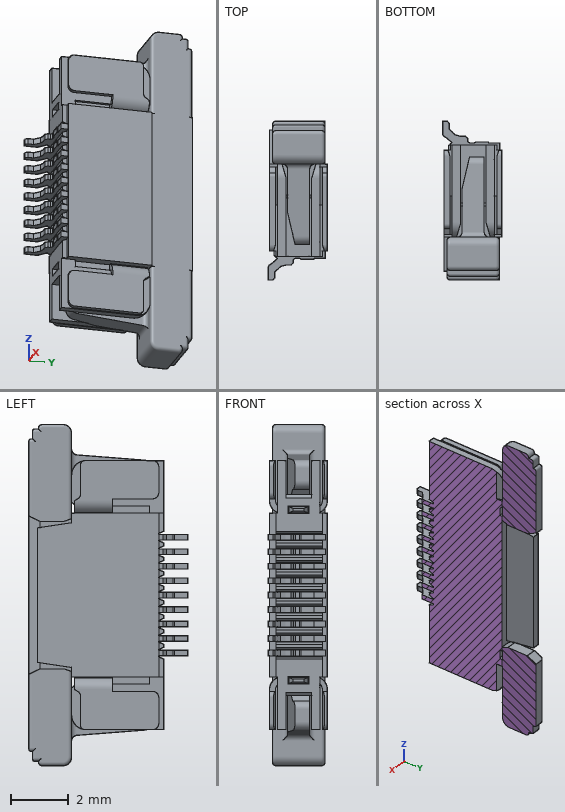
import cadquery as cq
import math


SHELL_X = 1.0
SHELL_Z = 2.83
SHELL_FRONT_Y = 0.18
SHELL_BACK_Y = 3.19
COVER_BACK_Y = 4.37
COVER_INNER_X = -0.73
COVER_BACK_Z = 2.32
COVER_FRONT_Z = 2.5
NOSE_X = (-0.78, 0.83)

ARM_TOP_Z = 4.65
ARM_OUTER_X = (-0.73, 0.74)
ARM_INNER_X = (-0.42, 0.46)
ARM_BACK_RADIUS = 0.5
ARM_LEAD_IN = (0.14, 0.48)
FLOOR_FRONT_Z = 3.36
FLOOR_BACK_Z = 3.47
FLOOR_RAMP_Y = 2.01
ROOT_BACK_Y = 3.09
ROOT_TOP_Z = (3.13, 3.2)
SLOT_SIZE = (0.73, 0.26)
SLOT_CENTRE_Z = 2.95
SLOT_DEPTH = 0.47
SLOT_PEG_ROOT = (0.66, 0.21)
SLOT_PEG_TIP = (0.38, 0.1)
SLOT_PEG_HEIGHT = 0.24
SIDE_RECESS_Y = (0.5, 1.77)
SIDE_RECESS_Z = 3.08
SIDE_RECESS_DEPTH = 0.12

EAR_INNER_X = (-0.79, 0.83)
EAR_FRONT_Y = SHELL_FRONT_Y
EAR_BACK_Y = 2.88
EAR_BOTTOM_Z = 3.33
EAR_CORNER_RADIUS = 0.21
EAR_BACK_RADIUS = 0.14
EAR_BLEND_RADIUS = 0.18
EAR_BLEND_TOP_Z = 3.49
EAR_BLEND_END = (2.99, 3.33)
EAR_BEVEL = (0.07, 0.22)
BEND_Y = (1.77, ROOT_BACK_Y)
BEND_Z = 3.26
BEND_RADIUS = 0.42

CONTACT_COUNT = 9
CONTACT_PITCH = 0.5
CONTACT_WIDTH = 0.2
CONTACT_OUTLINE = [
    (-0.85, SHELL_FRONT_Y),
    (-0.85, 0.04),
    (-0.73, -0.08),
    (-0.91, -0.24),
    (-1.01, -0.31),
    (-1.05, -0.37),
    (-1.05, -0.83),
    (-0.88, -0.83),
    (-0.81, -0.74),
    (-0.81, -0.54),
    (-0.61, -0.35),
    (-0.44, -0.31),
    (-0.26, -0.31),
    (-0.18, -0.22),
    (-0.18, -0.12),
    (-0.11, -0.07),
    (0.04, -0.07),
    (0.1, -0.11),
    (0.54, -0.11),
    (0.54, -0.07),
    (0.93, -0.07),
    (0.93, SHELL_FRONT_Y),
]
COMB_Z = 2.21
TOOTH_BASE = 0.26
TOOTH_TIP = 0.11

BLOCK_X = (-0.9, 0.92)
BLOCK_FRONT_Y = SHELL_BACK_Y
BLOCK_BACK_Y = 4.67
BLOCK_TOP_Z = 5.9
BLOCK_BOTTOM_Z = 2.55
BLOCK_EDGE_RADIUS = 0.12
BLOCK_NOSE_RADIUS = 0.31
GRIP_STEP_Y = (4.34, 4.54)
GRIP_STEP_Z = (5.75, 5.4)
GRIP_CORNER_RADII = (0.14, 0.08, 0.1)
BLOCK_UNDERSIDE = [
    (BLOCK_FRONT_Y, 2.64),
    (3.45, BLOCK_BOTTOM_Z),
    (4.28, BLOCK_BOTTOM_Z),
    (BLOCK_BACK_Y, 2.74),
]
BAR_X = -0.41
BAR_BEVEL = (0.2, 0.39)
LATCH_X = (-0.38, 0.39)
LATCH_TIP_X = -0.12
LATCH_TIP_Y = 0.41
LATCH_TAPER_Y = 1.52
LATCH_FLARE = 0.18
LATCH_ROOT_Z = (3.47, 4.85)
LATCH_TIP_Z = (3.66, 4.65)
LATCH_RAMP_Y = 0.77
LATCH_TIP_RADIUS = 0.28

SIDES = (0, 1)
SIGNS = (-1, 1)


def box(x0, x1, y0, y1, z0, z1):
    return cq.Workplane("XY").box(x1 - x0, y1 - y0, z1 - z0, centered=False).translate((x0, y0, z0))


def prism_along_x(outline, x0, x1):
    """Closed (Y, Z) outline extruded from x0 to x1."""
    return cq.Workplane("YZ").polyline(outline).close().extrude(x1 - x0).translate((x0, 0, 0))


def prism_along_z(outline, z0, z1):
    """Closed (X, Y) outline extruded from z0 to z1."""
    return cq.Workplane("XY").polyline(outline).close().extrude(z1 - z0).translate((0, 0, z0))


def both_ends(body):
    return body.union(body.mirror("XY"))


def shell():
    body = box(-SHELL_X, SHELL_X, SHELL_FRONT_Y, SHELL_BACK_Y, -SHELL_Z, SHELL_Z)
    body = body.union(box(*NOSE_X, 0, SHELL_FRONT_Y, -SHELL_Z, SHELL_Z))
    cover = prism_along_x(
        [
            (SHELL_BACK_Y, -COVER_FRONT_Z),
            (COVER_BACK_Y, -COVER_BACK_Z),
            (COVER_BACK_Y, COVER_BACK_Z),
            (SHELL_BACK_Y, COVER_FRONT_Z),
        ],
        -SHELL_X,
        COVER_INNER_X,
    )
    return body.union(cover)


def guide_arms():
    """U-shaped guide on the +Z end, open to the front, back and top."""
    body = box(*ARM_OUTER_X, 0, SHELL_BACK_Y, SHELL_Z, ARM_TOP_Z)
    body = body.edges("|X and >Y and >Z").fillet(ARM_BACK_RADIUS)
    channel = prism_along_x(
        [
            (0, FLOOR_FRONT_Z),
            (FLOOR_RAMP_Y, FLOOR_FRONT_Z),
            (FLOOR_RAMP_Y + FLOOR_BACK_Z - FLOOR_FRONT_Z, FLOOR_BACK_Z),
            (SHELL_BACK_Y, FLOOR_BACK_Z),
            (SHELL_BACK_Y, ARM_TOP_Z),
            (0, ARM_TOP_Z),
        ],
        *ARM_INNER_X,
    )
    flare, flare_length = ARM_LEAD_IN
    lead_in = prism_along_z(
        [
            (ARM_INNER_X[0], SHELL_BACK_Y - flare_length),
            (ARM_INNER_X[1], SHELL_BACK_Y - flare_length),
            (ARM_INNER_X[1] + flare, SHELL_BACK_Y),
            (ARM_INNER_X[0] - flare, SHELL_BACK_Y),
        ],
        FLOOR_BACK_Z,
        ARM_TOP_Z,
    )
    root_step = prism_along_x(
        [
            (ROOT_BACK_Y, SHELL_Z),
            (ROOT_BACK_Y, ROOT_TOP_Z[0]),
            (SHELL_BACK_Y, ROOT_TOP_Z[1]),
            (SHELL_BACK_Y, SHELL_Z),
        ],
        *ARM_OUTER_X,
    )
    body = body.cut(channel).cut(lead_in).cut(root_step)
    for side, sign in zip(SIDES, SIGNS):
        outer = ARM_OUTER_X[side]
        inner = outer - sign * SIDE_RECESS_DEPTH
        body = body.cut(box(min(outer, inner), max(outer, inner), *SIDE_RECESS_Y, SHELL_Z, SIDE_RECESS_Z))
    return body


def front_slot():
    """Blind slot below the channel floor, with a tapered peg standing on its bottom."""
    slot = cq.Workplane("XZ", origin=(0, 0, SLOT_CENTRE_Z)).rect(*SLOT_SIZE).extrude(-SLOT_DEPTH)
    peg = (
        cq.Workplane("XZ", origin=(0, SLOT_DEPTH, SLOT_CENTRE_Z))
        .rect(*SLOT_PEG_ROOT)
        .workplane(offset=SLOT_PEG_HEIGHT)
        .rect(*SLOT_PEG_TIP)
        .loft()
    )
    return slot.cut(peg)


def ear(side):
    """Flat ear with a curved root that joins the side of the arm."""
    sign = SIGNS[side]
    bend_centre = SHELL_X - BEND_RADIUS
    arm = abs(ARM_OUTER_X[side])
    inner = abs(EAR_INNER_X[side])
    inner_radius = inner - bend_centre

    def bend_point(radius, x):
        return sign * x, BEND_Z - math.sqrt(radius**2 - (x - bend_centre) ** 2)

    outer_end = bend_point(BEND_RADIUS, arm)
    outer_mid = bend_point(BEND_RADIUS, (SHELL_X + arm) / 2)
    inner_end = bend_point(inner_radius, arm)
    inner_mid = bend_point(inner_radius, (inner + arm) / 2)
    section = (
        cq.Workplane("XZ")
        .moveTo(sign * SHELL_X, ARM_TOP_Z)
        .lineTo(sign * SHELL_X, BEND_Z)
        .threePointArc(outer_mid, outer_end)
        .lineTo(*inner_end)
        .threePointArc(inner_mid, (sign * inner, BEND_Z))
        .lineTo(sign * inner, ARM_TOP_Z)
        .close()
        .extrude(-SHELL_BACK_Y)
    )
    plate = box(-SHELL_X, SHELL_X, EAR_FRONT_Y, EAR_BACK_Y, EAR_BOTTOM_Z, ARM_TOP_Z)
    plate = plate.edges("|X and <Y").fillet(EAR_CORNER_RADIUS)
    plate = plate.edges("|X and >Y and >Z").fillet(EAR_BACK_RADIUS)
    bend_front, bend_back = BEND_Y
    root = (
        cq.Workplane("YZ", origin=(-SHELL_X, 0, 0))
        .moveTo(bend_front, SHELL_Z)
        .lineTo(bend_back, SHELL_Z)
        .lineTo(bend_back, BEND_Z)
        .lineTo(*EAR_BLEND_END)
        .radiusArc((EAR_BACK_Y, EAR_BLEND_TOP_Z), EAR_BLEND_RADIUS)
        .lineTo(bend_front, EAR_BLEND_TOP_Z)
        .close()
        .extrude(2 * SHELL_X)
    )
    bevel_x, bevel_y = EAR_BEVEL
    bevel = prism_along_z(
        [
            (sign * inner, EAR_FRONT_Y),
            (sign * (inner + bevel_x), EAR_FRONT_Y),
            (sign * inner, EAR_FRONT_Y + bevel_y),
        ],
        SHELL_Z,
        ARM_TOP_Z,
    )
    return section.intersect(plate.union(root)).cut(bevel)


def comb_recess():
    """Recess across the raised front face, less the teeth left between neighbouring contacts."""
    slope = (TOOTH_BASE - TOOTH_TIP) / 2
    recess = prism_along_x(
        [(0, -COMB_Z), (SHELL_FRONT_Y, slope - COMB_Z), (SHELL_FRONT_Y, COMB_Z - slope), (0, COMB_Z)],
        *NOSE_X,
    )
    for index in range(CONTACT_COUNT - 1):
        middle = (index - (CONTACT_COUNT - 2) / 2) * CONTACT_PITCH
        tooth = prism_along_x(
            [
                (SHELL_FRONT_Y, middle - TOOTH_BASE / 2),
                (SHELL_FRONT_Y, middle + TOOTH_BASE / 2),
                (0, middle + TOOTH_TIP / 2),
                (0, middle - TOOTH_TIP / 2),
            ],
            *NOSE_X,
        )
        recess = recess.cut(tooth)
    return recess


def contact(middle_z):
    """Flat contact plate on the front face with its bent solder tail."""
    return prism_along_z(CONTACT_OUTLINE, middle_z - CONTACT_WIDTH / 2, middle_z + CONTACT_WIDTH / 2)


def make_housing():
    end = guide_arms()
    for side in SIDES:
        end = end.union(ear(side))
    slot = front_slot()
    body = shell().union(both_ends(end)).cut(slot).cut(slot.mirror("XY")).cut(comb_recess())
    for index in range(CONTACT_COUNT):
        body = body.union(contact((index - (CONTACT_COUNT - 1) / 2) * CONTACT_PITCH))
    return body


def lock_block():
    """Finger-grip block on the +Z end, stepped at the back and rounded along its sides."""
    upper_y, lower_y = GRIP_STEP_Y
    upper_z, lower_z = GRIP_STEP_Z
    top_radius, middle_radius, bottom_radius = GRIP_CORNER_RADII
    left, right = BLOCK_X
    body = (
        cq.Workplane("YZ", origin=(left, 0, 0))
        .moveTo(BLOCK_FRONT_Y, 0)
        .lineTo(BLOCK_BACK_Y, 0)
        .lineTo(BLOCK_BACK_Y, lower_z - bottom_radius)
        .radiusArc((BLOCK_BACK_Y - bottom_radius, lower_z), -bottom_radius)
        .lineTo(lower_y, lower_z)
        .lineTo(lower_y, upper_z - middle_radius)
        .radiusArc((lower_y - middle_radius, upper_z), -middle_radius)
        .lineTo(upper_y, upper_z)
        .lineTo(upper_y, BLOCK_TOP_Z - top_radius)
        .radiusArc((upper_y - top_radius, BLOCK_TOP_Z), -top_radius)
        .lineTo(BLOCK_FRONT_Y, BLOCK_TOP_Z)
        .close()
        .extrude(right - left)
    )
    body = body.edges("|X and <Y and >Z").fillet(BLOCK_NOSE_RADIUS)
    body = body.faces("<X or >X").edges("not <Z").fillet(BLOCK_EDGE_RADIUS)
    below = prism_along_x([(BLOCK_FRONT_Y, 0), *BLOCK_UNDERSIDE, (BLOCK_BACK_Y, 0)], *BLOCK_X)
    return body.cut(below)


def latch():
    """Latch finger on the +Z end: its plan and side outlines intersected, both flared at the root."""
    flare_mid = LATCH_FLARE * (1 - math.sqrt(0.5))
    left, right = LATCH_X
    low, high = LATCH_ROOT_Z
    tip_low, tip_high = LATCH_TIP_Z
    flare_y = BLOCK_FRONT_Y - LATCH_FLARE
    mid_y = BLOCK_FRONT_Y - flare_mid
    plan = (
        cq.Workplane("XY")
        .moveTo(left - LATCH_FLARE, BLOCK_FRONT_Y)
        .threePointArc((left - flare_mid, mid_y), (left, flare_y))
        .lineTo(left, LATCH_TAPER_Y)
        .lineTo(LATCH_TIP_X, LATCH_TIP_Y)
        .lineTo(right, LATCH_TIP_Y)
        .lineTo(right, flare_y)
        .threePointArc((right + flare_mid, mid_y), (right + LATCH_FLARE, BLOCK_FRONT_Y))
        .close()
        .extrude(BLOCK_TOP_Z)
    )
    profile = (
        cq.Workplane("YZ", origin=(BLOCK_X[0], 0, 0))
        .moveTo(BLOCK_FRONT_Y, low)
        .lineTo(LATCH_RAMP_Y + tip_low - low, low)
        .lineTo(LATCH_RAMP_Y, tip_low)
        .lineTo(LATCH_TIP_Y, tip_low)
        .lineTo(LATCH_TIP_Y, tip_high)
        .lineTo(flare_y, high)
        .tangentArcPoint((BLOCK_FRONT_Y, high + LATCH_FLARE), relative=False)
        .close()
        .extrude(BLOCK_X[1] - BLOCK_X[0])
        .edges("|X and <Y")
        .fillet(LATCH_TIP_RADIUS)
    )
    return plan.intersect(profile)


def lock_bar():
    """Bar behind the shell that joins both ends, bevelled to guide the cable under the cover."""
    bevel_x, bevel_y = BAR_BEVEL
    return prism_along_z(
        [
            (BAR_X, BLOCK_FRONT_Y),
            (BLOCK_X[1], BLOCK_FRONT_Y),
            (BLOCK_X[1], BLOCK_BACK_Y),
            (BAR_X + bevel_x, BLOCK_BACK_Y),
            (BAR_X, BLOCK_BACK_Y - bevel_y),
        ],
        -SHELL_Z,
        SHELL_Z,
    )


def make_lock():
    return both_ends(lock_block().union(latch())).union(lock_bar())


housing = make_housing()
lock = make_lock()
result = cq.Compound.makeCompound([housing.solids().val(), lock.solids().val()])